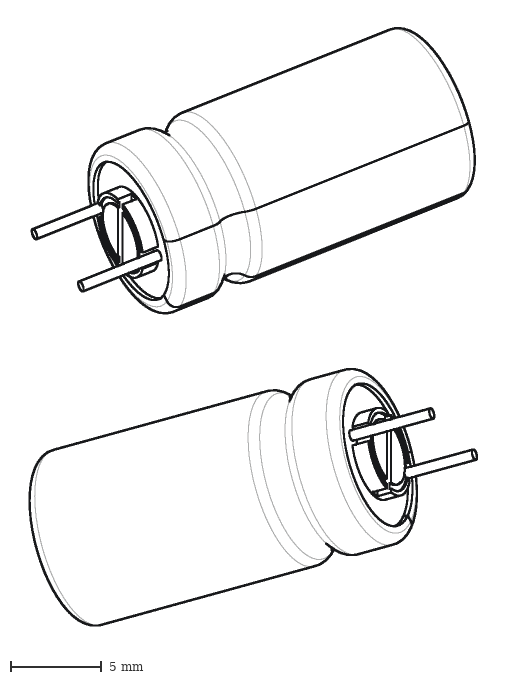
import cadquery as cq
import math


overall_length = 24.0
lead_reach = 4.7
body_length = overall_length - lead_reach
body_radius = 10.0 / 2
end_round = 0.55
bore_radius = 4.05
stripe_angle = 60.0

groove_y = 4.05
groove_depth = 0.65
groove_half_width = 1.37
shoulder_round = 0.75

face_recess = 0.3
seat_rise = 0.7
seat_radius = 2.5
ring_groove_outer = 2.23
ring_groove_inner = 1.87
ring_groove_depth = 0.1
slot_width = 0.5
slot_depth = 0.86

lead_diameter = 0.6
lead_pitch = 5.0
lead_notch_radius = 0.6


def cylinder_along_y(radius, y_start, y_end, x=0.0):
    """Cylinder parallel to Y between two Y positions."""
    direction = cq.Vector(0, 1, 0)
    solid = cq.Solid.makeCylinder(radius, y_end - y_start, cq.Vector(x, y_start, 0), direction)
    return cq.Workplane(obj=solid)


def make_sleeve_wall(start_angle, sweep_angle):
    """Part of the crimped tube, swept about Y from an angle measured from +X."""
    radius_sum = (groove_depth**2 + groove_half_width**2) / (2 * groove_depth)
    shoulder_angle = math.asin(groove_half_width / radius_sum)
    tangent_offset = shoulder_round * math.sin(shoulder_angle)
    tangent_radius = body_radius - shoulder_round * (1 - math.cos(shoulder_angle))
    half_angle = shoulder_angle / 2
    middle_offset = shoulder_round * math.sin(half_angle)
    middle_radius = body_radius - shoulder_round * (1 - math.cos(half_angle))
    groove_start = groove_y - groove_half_width
    groove_end = groove_y + groove_half_width

    profile = (
        cq.Workplane("XY")
        .moveTo(bore_radius, 0)
        .lineTo(body_radius - end_round, 0)
        .radiusArc((body_radius, end_round), -end_round)
        .lineTo(body_radius, groove_start)
        .threePointArc(
            (middle_radius, groove_start + middle_offset),
            (tangent_radius, groove_start + tangent_offset),
        )
        .threePointArc(
            (body_radius - groove_depth, groove_y),
            (tangent_radius, groove_end - tangent_offset),
        )
        .threePointArc((middle_radius, groove_end - middle_offset), (body_radius, groove_end))
        .lineTo(body_radius, body_length - end_round)
        .radiusArc((body_radius - end_round, body_length), -end_round)
        .lineTo(bore_radius, body_length)
        .close()
    )
    wall = profile.revolve(sweep_angle, (0, 0, 0), (0, 1, 0))
    return wall.rotate((0, 0, 0), (0, 1, 0), start_angle)


def make_core():
    """Cylinder filling the bore, with a slotted and notched seat on its face."""
    core = cylinder_along_y(bore_radius, face_recess, body_length)
    seat = cylinder_along_y(seat_radius, -seat_rise, face_recess)

    ring_groove_floor = ring_groove_depth - seat_rise
    ring_groove = cylinder_along_y(ring_groove_outer, -seat_rise, ring_groove_floor)
    ring_groove = ring_groove.cut(cylinder_along_y(ring_groove_inner, -seat_rise, ring_groove_floor))
    seat = seat.cut(ring_groove)

    slot = cq.Workplane("XY").box(slot_width, slot_depth, 2 * seat_radius)
    seat = seat.cut(slot.translate((0, slot_depth / 2 - seat_rise, 0)))

    for side in (-1, 1):
        notch_x = side * lead_pitch / 2
        seat = seat.cut(cylinder_along_y(lead_notch_radius, -seat_rise, face_recess, notch_x))
    return core.union(seat)


def make_lead(side):
    """Round lead standing on the core face."""
    return cylinder_along_y(lead_diameter / 2, -lead_reach, face_recess, side * lead_pitch / 2)


sleeve = make_sleeve_wall(stripe_angle / 2, 360 - stripe_angle)
stripe = make_sleeve_wall(-stripe_angle / 2, stripe_angle)
core = make_core()
leads = [make_lead(side) for side in (-1, 1)]

result = cq.Compound.makeCompound(
    [sleeve.val(), stripe.val(), core.val(), *[lead.val() for lead in leads]]
)